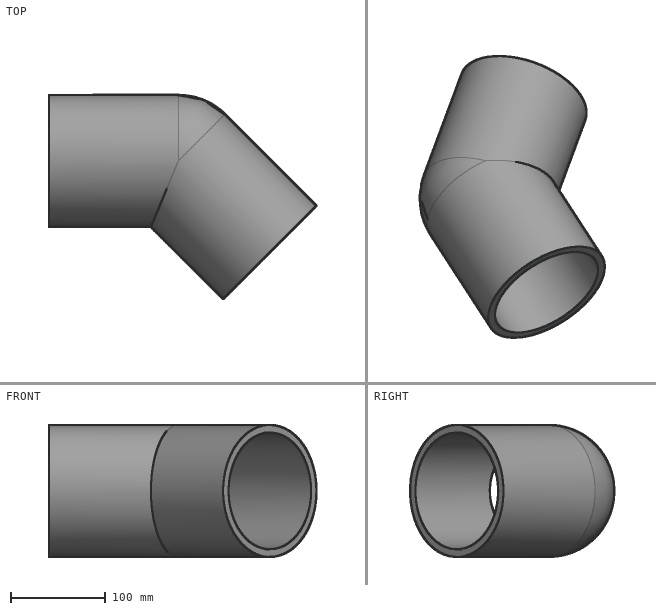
import cadquery as cq
import math

overall_length = 283.5
outer_radius = 70.0
wall = 8.2
bend_angle = 45.0

bend = math.radians(bend_angle)
inner_radius = outer_radius - wall
leg_length = (overall_length - outer_radius * math.sin(bend)) / (1 + math.cos(bend))

inlet_direction = cq.Vector(-1, 0, 0)
outlet_direction = cq.Vector(math.cos(bend), -math.sin(bend), 0)


def elbow_body(radius):
    """Solid elbow: two cylinders from the corner, rounded there by a sphere."""
    body = cq.Workplane("XY").sphere(radius)
    for direction in (inlet_direction, outlet_direction):
        leg = cq.Solid.makeCylinder(radius, leg_length, cq.Vector(0, 0, 0), direction)
        body = body.union(cq.Workplane(obj=leg))
    return body


result = elbow_body(outer_radius).cut(elbow_body(inner_radius))